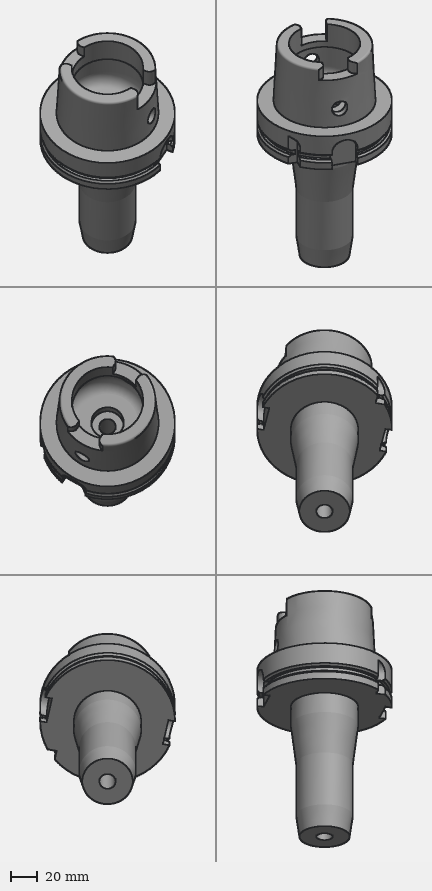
import cadquery as cq

total_height = 185
nose_top = 16.6
barrel_top = 59.0
neck_bottom = 90.3
flange_bottom = 106.0
flange_top = 135

nose_radius = 18.7
barrel_radius = 21.0
neck_radius = 25.0
flange_radius = 100.0 / 2
shank_base_radius = 38.0
shank_tip_radius = 35.5
rim_round = 1.8

groove_bottom = 113.4
groove_top = 117.1
groove_radius = 46.0
lip_bevel = 1.7

bore_radius = 26.5
bore_depth = 20.0
cavity_radius = 32.0
cavity_wall_bottom = 144.5
cavity_floor_round = 9.2
cavity_floor = cavity_wall_bottom - cavity_floor_round
socket_radius = 12.0
socket_depth = 9.2
coolant_radius = 12.0 / 2
cross_hole_radius = 12.0 / 2
cross_hole_height = 150.2

drive_slot_width = 20.0
drive_slot_round = 5.0
lug_half_length = 32.2
left_slot_depth = 9.8
right_slot_depth = 14.8

pocket_radius = 10.0
pocket_apex = 130.2
pocket_floor = 44.0
notch_radius = 8.0
notch_center_y = 39.4
notch_floor = 32.0


def make_body():
    """Revolve the outer profile of shank, flange, neck and nose."""
    lip_radius = flange_radius - lip_bevel
    profile = (
        cq.Workplane("XZ")
        .lineTo(nose_radius, 0)
        .lineTo(barrel_radius, nose_top)
        .lineTo(barrel_radius, barrel_top)
        .lineTo(neck_radius, neck_bottom)
        .lineTo(neck_radius, flange_bottom)
        .lineTo(flange_radius, flange_bottom)
        .lineTo(flange_radius, groove_bottom - lip_bevel)
        .lineTo(lip_radius, groove_bottom)
        .lineTo(groove_radius, groove_bottom)
        .lineTo(groove_radius, groove_top)
        .lineTo(lip_radius, groove_top)
        .lineTo(flange_radius, groove_top + lip_bevel)
        .lineTo(flange_radius, flange_top)
        .lineTo(shank_base_radius, flange_top)
        .lineTo(shank_tip_radius, total_height)
        .lineTo(0, total_height)
        .close()
    )
    body = profile.revolve(360, (0, 0, 0), (0, 1, 0))
    return body.faces(">Z").edges().fillet(rim_round)


def make_bores():
    """Revolve the stepped hollow: rim bore, undercut cavity, socket and coolant hole."""
    bore_bottom = total_height - bore_depth
    socket_floor = cavity_floor - socket_depth
    profile = (
        cq.Workplane("XZ")
        .lineTo(coolant_radius, 0)
        .lineTo(coolant_radius, socket_floor)
        .lineTo(socket_radius, socket_floor)
        .lineTo(socket_radius, cavity_floor)
        .lineTo(cavity_radius - cavity_floor_round, cavity_floor)
        .radiusArc((cavity_radius, cavity_wall_bottom), -cavity_floor_round)
        .lineTo(cavity_radius, bore_bottom)
        .lineTo(bore_radius, bore_bottom)
        .lineTo(bore_radius, total_height)
        .lineTo(0, total_height)
        .close()
    )
    return profile.revolve(360, (0, 0, 0), (0, 1, 0))


def make_drive_slot(side, depth):
    """Slot through one side of the rim, flaring outward around the rounded lug ends."""
    half_width = drive_slot_width / 2
    flare_start = lug_half_length - drive_slot_round
    flare_half_width = half_width + drive_slot_round
    return (
        cq.Workplane("XY", origin=(0, 0, total_height - depth))
        .moveTo(0, -half_width)
        .lineTo(side * flare_start, -half_width)
        .radiusArc((side * lug_half_length, -flare_half_width), side * drive_slot_round)
        .lineTo(side * flange_radius, -flare_half_width)
        .lineTo(side * flange_radius, flare_half_width)
        .lineTo(side * lug_half_length, flare_half_width)
        .radiusArc((side * flare_start, half_width), side * drive_slot_round)
        .lineTo(0, half_width)
        .close()
        .extrude(depth)
    )


def make_pocket(side, floor, center_y, radius):
    """Arched pocket open at the flange underside, with a flat floor facing along X."""
    arch_center = pocket_apex - radius
    return (
        cq.Workplane("YZ", origin=(side * floor, 0, 0))
        .moveTo(center_y - radius, flange_bottom)
        .lineTo(center_y - radius, arch_center)
        .threePointArc((center_y, pocket_apex), (center_y + radius, arch_center))
        .lineTo(center_y + radius, flange_bottom)
        .close()
        .extrude(side * flange_radius)
    )


cross_hole = (
    cq.Workplane("YZ")
    .center(0, cross_hole_height)
    .circle(cross_hole_radius)
    .extrude(flange_radius, both=True)
)

result = make_body().cut(make_bores()).cut(cross_hole)
result = result.cut(make_drive_slot(-1, left_slot_depth))
result = result.cut(make_drive_slot(1, right_slot_depth))
for side in (-1, 1):
    result = result.cut(make_pocket(side, pocket_floor, 0, pocket_radius))
result = result.cut(make_pocket(-1, notch_floor, notch_center_y, notch_radius))